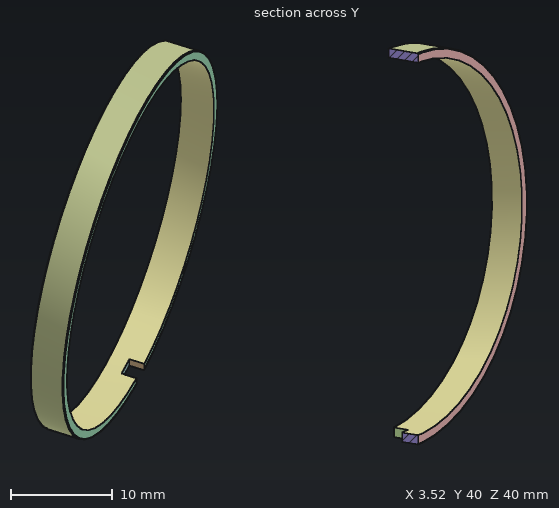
import cadquery as cq

outer_diameter = 40.0
wall_thickness = 1.0
ring_width = 3.52
edge_chamfer = 0.1

notch_length = 2.0
notch_depth = 1.6

outer_radius = outer_diameter / 2
inner_radius = outer_radius - wall_thickness
half_width = ring_width / 2


def make_ring():
    """Plain ring centred on the origin, its two outer edges chamfered."""
    ring = (
        cq.Workplane("YZ")
        .workplane(offset=-half_width)
        .circle(outer_radius)
        .circle(inner_radius)
        .extrude(ring_width)
    )
    outer_edges = cq.selectors.RadiusNthSelector(-1)
    return ring.edges(outer_edges).chamfer(edge_chamfer)


def make_notch():
    """Block through the wall at the bottom, open towards +X."""
    notch_height = 2 * wall_thickness
    return cq.Workplane("XY").box(notch_depth, notch_length, notch_height).translate(
        (half_width - notch_depth / 2, 0, wall_thickness / 2 - outer_radius)
    )


result = make_ring().cut(make_notch())